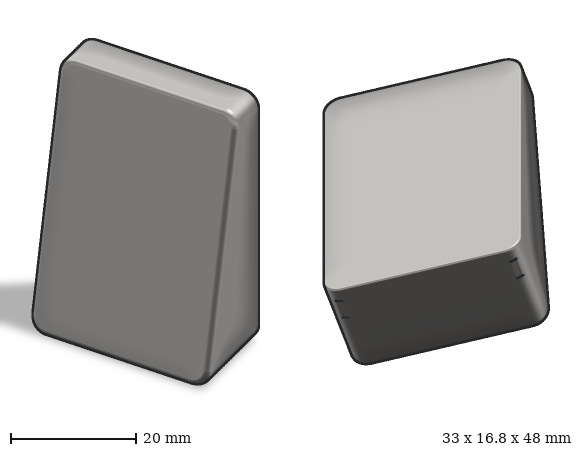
import cadquery as cq
import math

width = 33.0
height = 48.0
base_depth = 17.0
top_depth = 7.0

corner_radius = 3.0
front_edge_radius = 1.0
back_edge_radius = 0.5

flat_length = 3.6
flat_back_offset = 2.45
flat_start_angle = math.radians(10.0)
flat_end_angle = math.radians(32.0)


def wedge():
    """Plain wedge, centred on X."""
    side_profile = [
        (0, 0),
        (base_depth, 0),
        (base_depth, height),
        (base_depth - top_depth, height),
    ]
    return cq.Workplane("YZ").polyline(side_profile).close().extrude(width / 2, both=True)


def rounded(body):
    """Round the four corners running front to back, then the rims of both faces."""
    body = body.edges("|Y").fillet(corner_radius)
    body = body.faces("<Y").edges().fillet(front_edge_radius)
    return body.faces(">Y").edges().fillet(back_edge_radius)


def bottom_corner_point(side, angle):
    """Point (X, Z) on the bottom corner rounding; side is -1 or +1 along X."""
    x = width / 2 - corner_radius + corner_radius * math.sin(angle)
    z = corner_radius * (1 - math.cos(angle))
    return side * x, z


def corner_flat_cutter(side):
    """Triangular bar that trims the rounding down to its chord."""
    inner = bottom_corner_point(side, flat_start_angle)
    outer = bottom_corner_point(side, flat_end_angle)
    below_outer = (outer[0], inner[1])
    back_end = base_depth - flat_back_offset
    profile = cq.Workplane("XZ", origin=(0, back_end, 0)).polyline([inner, outer, below_outer])
    return profile.close().extrude(flat_length)


body = rounded(wedge())
for corner_side in (-1, 1):
    body = body.cut(corner_flat_cutter(corner_side))
result = body.solids()